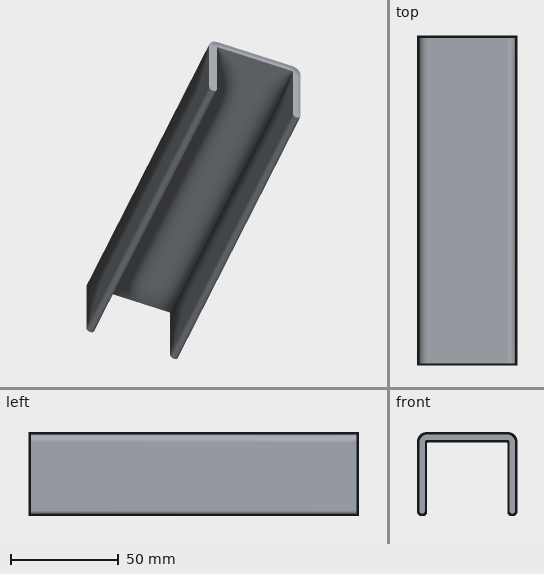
import cadquery as cq

width = 45.72
length = 152.4
height = 38.1

wall = 3.81
inner_radius = 0.508
outer_radius = inner_radius + wall
tip_radius = wall / 2

outer_x = width / 2
inner_x = outer_x - wall


def square_cornered_channel():
    """Channel extruded along Y, with full-round leg tips and sharp bends."""
    leg_center_x = outer_x - tip_radius
    profile = (
        cq.Workplane("XZ", origin=(0, length / 2, 0))
        .moveTo(-outer_x, tip_radius)
        .lineTo(-outer_x, height)
        .lineTo(outer_x, height)
        .lineTo(outer_x, tip_radius)
        .threePointArc((leg_center_x, 0), (inner_x, tip_radius))
        .lineTo(inner_x, height - wall)
        .lineTo(-inner_x, height - wall)
        .lineTo(-inner_x, tip_radius)
        .threePointArc((-leg_center_x, 0), (-outer_x, tip_radius))
        .close()
    )
    return profile.extrude(length)


def round_bends(channel):
    """Round the outer and inner long edges where the legs meet the web."""
    outer_edges = channel.edges("|Y and >Z")
    inner_edges = cq.selectors.BoxSelector(
        (-inner_x - inner_radius, -length, height - wall - inner_radius),
        (inner_x + inner_radius, length, height - wall + inner_radius),
    )
    return outer_edges.fillet(outer_radius).edges("|Y").edges(inner_edges).fillet(inner_radius)


result = round_bends(square_cornered_channel())